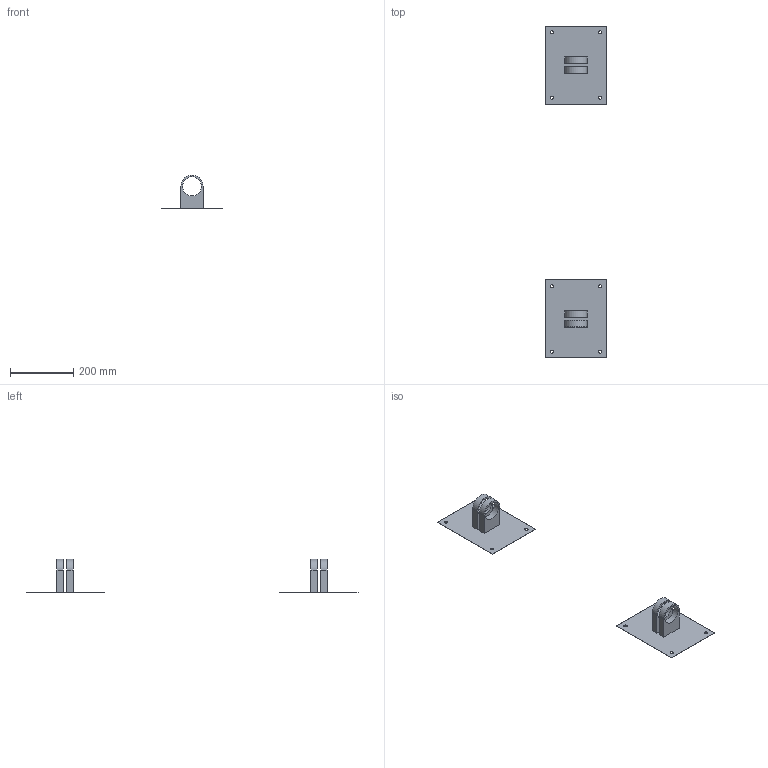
import cadquery as cq

plate_width = 192.2
plate_length = 246.0
plate_thickness = 0.6
stand_spacing = 800.0

mount_hole_diameter = 10.0
mount_hole_inset = 20.0

bore_diameter = 60.2
wall_thickness = 5.0
saddle_thickness = 20.4
saddle_gap = 10.0

crown_radius = bore_diameter / 2 + wall_thickness
saddle_width = 2 * crown_radius
bore_center_height = plate_thickness + saddle_width
saddle_spacing = saddle_thickness + saddle_gap


def base_plate():
    """Flat plate resting on Z = 0 with a hole near each corner."""
    hole_spacing_x = plate_width - 2 * mount_hole_inset
    hole_spacing_y = plate_length - 2 * mount_hole_inset
    return (
        cq.Workplane("XY")
        .rect(plate_width, plate_length)
        .extrude(plate_thickness)
        .faces(">Z")
        .workplane()
        .rect(hole_spacing_x, hole_spacing_y, forConstruction=True)
        .vertices()
        .hole(mount_hole_diameter)
    )


def saddle(center_y):
    """Round-topped upright with a bore along Y, concentric with its crown."""
    crown_top = bore_center_height + crown_radius
    upright = (
        cq.Workplane("XZ", origin=(0, center_y, 0))
        .moveTo(-crown_radius, 0)
        .lineTo(-crown_radius, bore_center_height)
        .threePointArc((0, crown_top), (crown_radius, bore_center_height))
        .lineTo(crown_radius, 0)
        .close()
        .extrude(saddle_thickness / 2, both=True)
    )
    bore = (
        cq.Workplane("XZ", origin=(0, center_y, bore_center_height))
        .circle(bore_diameter / 2)
        .extrude(saddle_thickness, both=True)
    )
    return upright.cut(bore)


def stand(center_y):
    """One complete stand: a base plate fused with its two saddles."""
    body = base_plate()
    for side in (-1, 1):
        body = body.union(saddle(side * saddle_spacing / 2))
    return body.translate((0, center_y, 0))


stands = [stand(side * stand_spacing / 2) for side in (-1, 1)]

result = cq.Compound.makeCompound([body.val() for body in stands])